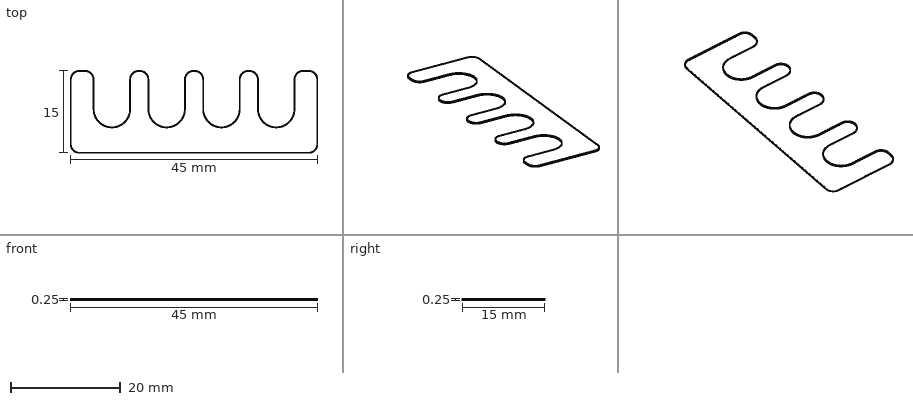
import cadquery as cq

length = 45.0
depth = 15.0
thickness = 0.25
corner_radius = 1.6

slot_count = 4
slot_pitch = 10.0
slot_width = 6.6
slot_floor = 4.7

slot_radius = slot_width / 2
slot_center_y = -depth / 2 + slot_floor + slot_radius


def make_slot(center_x):
    """Cutter for one slot, running out through the +Y edge."""
    left = center_x - slot_radius
    right = center_x + slot_radius
    return (
        cq.Workplane("XY")
        .workplane(offset=-thickness / 2)
        .moveTo(left, depth / 2)
        .lineTo(left, slot_center_y)
        .threePointArc((center_x, slot_center_y - slot_radius), (right, slot_center_y))
        .lineTo(right, depth / 2)
        .close()
        .extrude(thickness)
    )


plate = cq.Workplane("XY").box(length, depth, thickness)
for index in range(slot_count):
    plate = plate.cut(make_slot((index - (slot_count - 1) / 2) * slot_pitch))

tip_edges = plate.faces(">Y").edges("|Z")
base_edges = plate.faces("<Y").edges("|Z")
result = plate.newObject(tip_edges.vals() + base_edges.vals()).fillet(corner_radius)